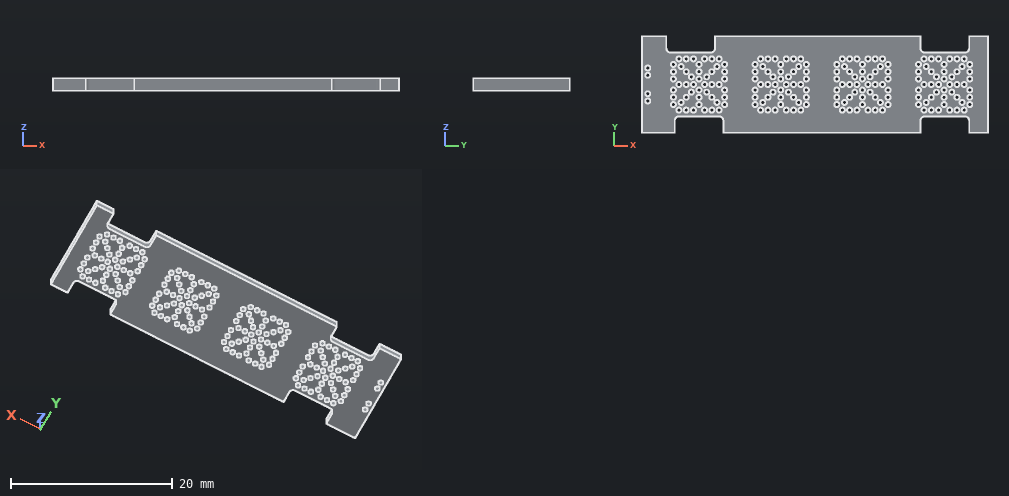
import cadquery as cq
import math

LENGTH = 43.0
WIDTH = 12.0
THICKNESS = 1.6

NOTCH_DEPTH = 2.0
NOTCH_CORNER_RADIUS = 0.5
NOTCH_LENGTH = 6.0
TOP_LEFT_NOTCH_START = 3.05
BOTTOM_LEFT_NOTCH_START = 4.1
RIGHT_NOTCH_START = 34.6

HOLE_DIAMETER = 0.6
HOLE_PITCH = 0.9
HOLES_PER_ROW = 3
CELL_SIZE = 3.2
FIELD_COUNT = 4
FIELD_PITCH = 10.15
FIRST_FIELD_X = 7.1

END_HOLES_X = 0.75
END_HOLES_PER_PAIR = 2

HALF_CELL = CELL_SIZE / 2


def row(center_x, center_y, angle, count):
    """Points of an evenly spaced row of holes, tilted by angle in degrees."""
    direction_x = math.cos(math.radians(angle))
    direction_y = math.sin(math.radians(angle))
    offsets = [(i - (count - 1) / 2) * HOLE_PITCH for i in range(count)]
    return [(center_x + s * direction_x, center_y + s * direction_y) for s in offsets]


def field_points(field_x):
    """Hole centers of one field, centered across the plate."""
    points = []
    for line in (-CELL_SIZE, 0, CELL_SIZE):
        for middle in (-HALF_CELL, HALF_CELL):
            points += row(field_x + middle, line, 0, HOLES_PER_ROW)
            points += row(field_x + line, middle, 90, HOLES_PER_ROW)
    for side_x in (-1, 1):
        for side_y in (-1, 1):
            angle = 45 * side_x * side_y
            points += row(field_x + side_x * HALF_CELL, side_y * HALF_CELL, angle, HOLES_PER_ROW)
    return points


def notch(start, side):
    """Notch cutter on the +Y (side = 1) or -Y (side = -1) edge, with rounded inner corners."""
    return (
        cq.Workplane("XY")
        .center(start + NOTCH_LENGTH / 2, side * WIDTH / 2)
        .rect(NOTCH_LENGTH, 2 * NOTCH_DEPTH)
        .extrude(THICKNESS)
        .edges("|Z")
        .fillet(NOTCH_CORNER_RADIUS)
    )


plate = cq.Workplane("XY").box(LENGTH, WIDTH, THICKNESS, centered=(False, True, False))

plate = plate.cut(notch(TOP_LEFT_NOTCH_START, 1))
plate = plate.cut(notch(BOTTOM_LEFT_NOTCH_START, -1))
for edge_side in (-1, 1):
    plate = plate.cut(notch(RIGHT_NOTCH_START, edge_side))

hole_points = []
for field in range(FIELD_COUNT):
    hole_points += field_points(FIRST_FIELD_X + field * FIELD_PITCH)
for pair_y in (-HALF_CELL, HALF_CELL):
    hole_points += row(END_HOLES_X, pair_y, 90, END_HOLES_PER_PAIR)

holes = cq.Workplane("XY").pushPoints(hole_points).circle(HOLE_DIAMETER / 2).extrude(THICKNESS)

result = plate.cut(holes)